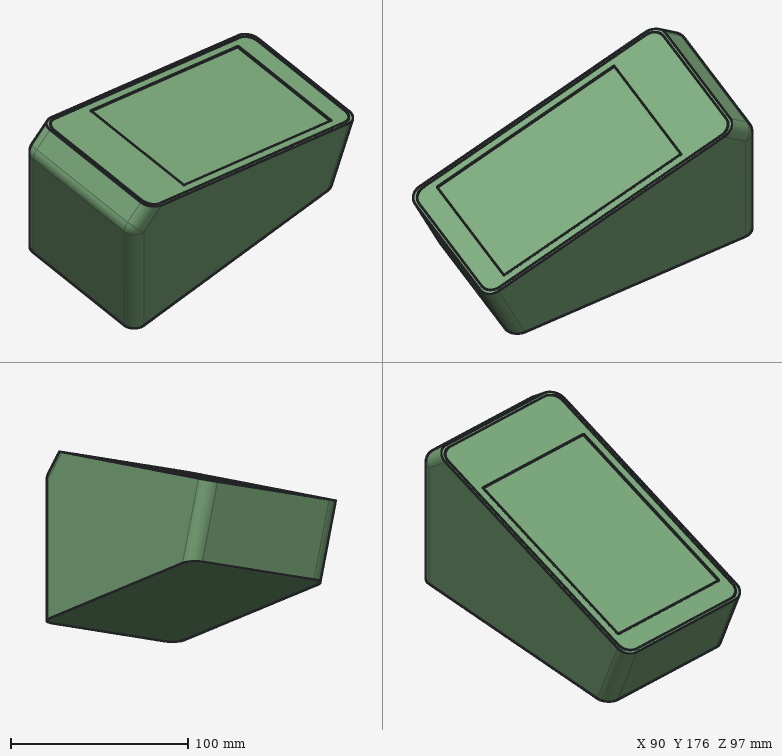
import cadquery as cq
import math

width = 90.0
length = 176.0
height = 97.0
ridge_setback = 13.2
bevel_start_height = 85.7
back_top_height = 43.0
back_lean = 16.2
corner_radius = 8.0

rim = 2.0
cover_thickness = 3.0
cover_width = width - 2 * rim
pocket_radius = 7.0
cover_radius = 8.0

screen_width = 76.0
screen_length = 121.5
screen_back_gap = 15.7
screen_recess = 0.9
screen_thickness = cover_thickness - screen_recess

front_y = -length / 2
back_y = length / 2
ridge_y = front_y + ridge_setback
slope_run = back_y - ridge_y
slope_drop = height - back_top_height
slope_length = math.hypot(slope_run, slope_drop)
cover_length = slope_length - 2 * rim
screen_center = (slope_length - screen_length) / 2 - screen_back_gap

top_plane = cq.Plane(
    origin=(0, (ridge_y + back_y) / 2, (height + back_top_height) / 2),
    xDir=(1, 0, 0),
    normal=(0, slope_drop, slope_run),
)


def make_rounded_plate(plate_radius):
    """Plate of the cover's size, set into the sloping top, with the given corner radius."""
    return (
        cq.Workplane(top_plane)
        .rect(cover_width, cover_length)
        .extrude(-cover_thickness)
        .edges(cq.selectors.ParallelDirSelector(top_plane.zDir))
        .fillet(plate_radius)
    )


def make_housing():
    """Wedge block with rounded corner edges and a pocket for the cover."""
    block = (
        cq.Workplane("YZ")
        .moveTo(front_y, 0)
        .lineTo(back_y - back_lean, 0)
        .lineTo(back_y, back_top_height)
        .lineTo(ridge_y, height)
        .lineTo(front_y, bevel_start_height)
        .close()
        .extrude(width / 2, both=True)
    )
    front_edges = block.faces("<Y").edges("|Z or >Z")
    back_lean_direction = cq.Vector(0, back_lean, back_top_height)
    back_edges = block.edges(cq.selectors.ParallelDirSelector(back_lean_direction))
    bevel_direction = cq.Vector(0, ridge_setback, height - bevel_start_height)
    bevel_edges = block.edges(cq.selectors.ParallelDirSelector(bevel_direction))
    rounded_edges = front_edges.add(back_edges).add(bevel_edges).vals()
    rounded = block.newObject(rounded_edges).fillet(corner_radius)
    return rounded.cut(make_rounded_plate(pocket_radius))


def make_cover():
    """Cover plate with a through window for the screen."""
    window = (
        cq.Workplane(top_plane)
        .center(0, screen_center)
        .rect(screen_width, screen_length)
        .extrude(-cover_thickness)
    )
    return make_rounded_plate(cover_radius).cut(window)


def make_screen():
    """Flat panel filling the window below its recessed surface."""
    return (
        cq.Workplane(top_plane)
        .workplane(offset=-screen_recess)
        .center(0, screen_center)
        .rect(screen_width, screen_length)
        .extrude(-screen_thickness)
    )


housing = make_housing()
cover = make_cover()
screen = make_screen()

result = cq.Compound.makeCompound([housing.val(), cover.val(), screen.val()])